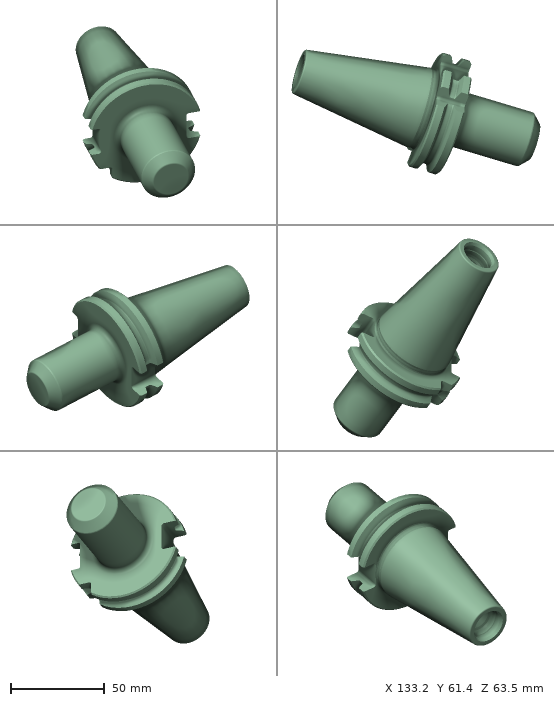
import cadquery as cq
import math

total_length = 133.2
taper_length = 68.4
flange_start = 71.5
flange_end = 87.4
flange_middle = (flange_start + flange_end) / 2

taper_large_radius = 22.3
taper_ratio = 7 / 24
taper_small_radius = taper_large_radius - taper_length * taper_ratio / 2
taper_end = 67.7
neck_start = 68.9
neck_radius = 21.9
taper_end_round = 0.8
neck_fillet = 0.9

flange_diameter = 63.5
flange_radius = flange_diameter / 2
flange_chamfer = 0.8
groove_floor_radius = 27.8
groove_floor_width = 3.2
groove_half_angle = math.radians(26)
groove_fillet = 0.7

shank_radius = 15.0
shank_fillet = 2.8
shank_chamfer = 5.0
shank_edge_round = 1.0

slot_width = 16.1
deep_slot_floor = 22.7
shallow_slot_floor = 24.9
notch_side = 18.5
notch_top = 18.3
slot_corner_radius = 1.5
cut_clearance = 1.3

mouth_radius = 9.5
mouth_depth = 1.6
counterbore_radius = 8.5
counterbore_depth = 4.8
upper_step_radius = 8.1
upper_step_depth = 7.6
lower_step_radius = 7.9
lower_step_depth = 8.9
core_radius = 6.9
core_depth = 32.0
drill_half_angle = math.radians(59)


def revolve_about_x(points):
    """Revolve a closed outline of (x, radius) points about the X axis."""
    return cq.Workplane("XY").polyline(points).close().revolve(360, (0, 0, 0), (1, 0, 0))


def rings_at(x, radius, tolerance=0.01):
    """Select full circular edges centred on the X axis at one station."""
    low = (x - tolerance, -radius - tolerance, -radius - tolerance)
    high = (x + tolerance, radius + tolerance, radius + tolerance)
    return cq.selectors.BoxSelector(low, high, boundingbox=True)


def make_body():
    """Solid of revolution: taper, neck, grooved flange and shank."""
    taper_end_radius = taper_small_radius + taper_end * taper_ratio / 2
    floor_half = groove_floor_width / 2
    mouth_half = floor_half + (flange_radius - groove_floor_radius) * math.tan(groove_half_angle)
    chamfer_start = total_length - shank_chamfer
    tip_radius = shank_radius - shank_chamfer
    body = revolve_about_x([
        (0, 0),
        (0, taper_small_radius),
        (taper_end, taper_end_radius),
        (neck_start, neck_radius),
        (flange_start, neck_radius),
        (flange_start, flange_radius - flange_chamfer),
        (flange_start + flange_chamfer, flange_radius),
        (flange_middle - mouth_half, flange_radius),
        (flange_middle - floor_half, groove_floor_radius),
        (flange_middle + floor_half, groove_floor_radius),
        (flange_middle + mouth_half, flange_radius),
        (flange_end - flange_chamfer, flange_radius),
        (flange_end, flange_radius - flange_chamfer),
        (flange_end, shank_radius),
        (chamfer_start, shank_radius),
        (total_length, tip_radius),
        (total_length, 0),
    ])
    fillets = [
        (0, taper_small_radius, taper_end_round),
        (flange_start, neck_radius, neck_fillet),
        (flange_middle - floor_half, groove_floor_radius, groove_fillet),
        (flange_middle + floor_half, groove_floor_radius, groove_fillet),
        (flange_end, shank_radius, shank_fillet),
        (chamfer_start, shank_radius, shank_edge_round),
        (total_length, tip_radius, shank_edge_round),
    ]
    for x, radius, fillet in fillets:
        body = body.edges(rings_at(x, radius)).fillet(fillet)
    return body


def make_bore():
    """Blind bore narrowing in conical steps to the core hole and its drilled tip."""
    upper_step_start = counterbore_depth + counterbore_radius - upper_step_radius
    core_start = lower_step_depth + lower_step_radius - core_radius
    tip = core_depth + core_radius / math.tan(drill_half_angle)
    return revolve_about_x([
        (0, 0),
        (0, mouth_radius),
        (mouth_depth, counterbore_radius),
        (counterbore_depth, counterbore_radius),
        (upper_step_start, upper_step_radius),
        (upper_step_depth, upper_step_radius),
        (lower_step_depth, lower_step_radius),
        (core_start, core_radius),
        (core_depth, core_radius),
        (tip, 0),
    ])


def flange_cutter(y_inner, y_outer, z_low, z_high, rounded_edges):
    """Block spanning the flange, with chosen inner corners rounded along X."""
    block = cq.Workplane("XY").box(
        flange_end - flange_start, abs(y_outer - y_inner), z_high - z_low
    ).translate((flange_middle, (y_inner + y_outer) / 2, (z_low + z_high) / 2))
    return block.edges(rounded_edges).fillet(slot_corner_radius)


def make_slots():
    """Cutters for the two drive slots and the orientation notch."""
    reach = flange_radius + cut_clearance
    half = slot_width / 2
    deep = flange_cutter(deep_slot_floor, reach, -half, half, "|X and <Y")
    shallow = flange_cutter(-shallow_slot_floor, -reach, -half, half, "|X and >Y")
    notch = flange_cutter(-notch_side, -reach, -reach, -notch_top, "|X and >Y and >Z")
    return [deep, shallow, notch]


result = make_body().cut(make_bore())
for slot in make_slots():
    result = result.cut(slot)